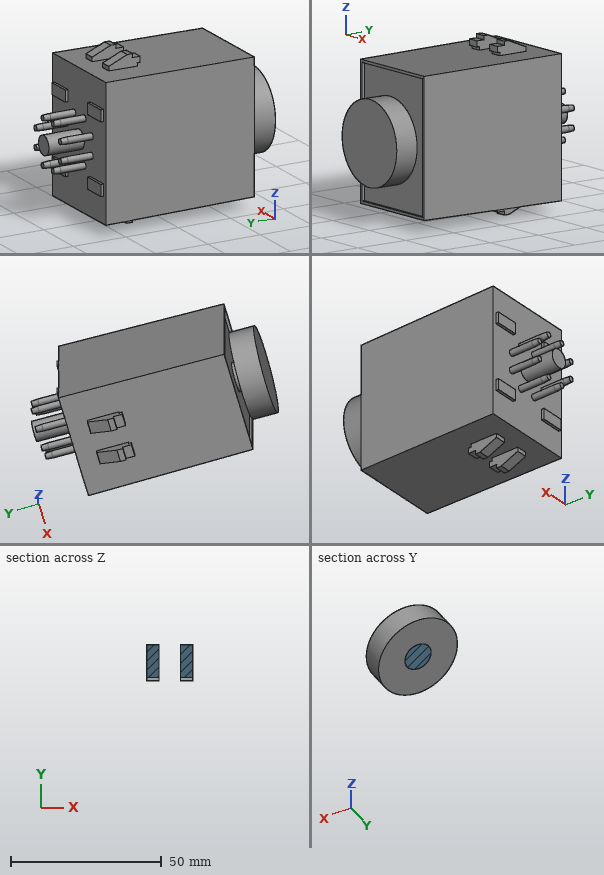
import cadquery as cq
import math


total_length = 80.0
total_height = 59.0

housing_length = 57.0
housing_width = 36.0
housing_height = 50.0
front_taper = 1.0
front_width = housing_width - front_taper
front_height = housing_height - front_taper
front_y = -housing_length

rim_thickness = 1.0
panel_depth = 1.0

knob_diameter = 30.0
shaft_diameter = 10.0
knob_gap = 1.0

spigot_diameter = 7.0
spigot_length = 13.5
pin_count = 8
pin_circle_radius = 9.0
pin_diameter = 2.4
pin_tip_diameter = 2.0
pin_length = 12.0
pin_tip_length = 2.4
pin_straight_length = pin_length - pin_tip_length

knob_length = total_length - spigot_length - housing_length - knob_gap

pad_width = 9.0
pad_height = 4.2
pad_thickness = 1.0
pad_x = 12.0
pad_z = 13.0

clip_width = 4.2
clip_x = 5.6
clip_rear = 7.0
clip_crest_rear = 14.0
clip_crest_front = 16.0
clip_foot_front = 17.9
clip_tongue_front = 19.0
clip_crest_height = (total_height - housing_height) / 2
clip_rear_height = 1.5
clip_tongue_top = 3.1
clip_tongue_underside = 1.0
clip_embed = 0.8


def cylinder(diameter, start_y, length):
    """Cylinder on the Y axis, running from start_y towards +Y."""
    base = cq.Workplane("XZ", origin=(0, start_y, 0))
    return base.circle(diameter / 2).extrude(-length)


def make_housing():
    body = (
        cq.Workplane("XZ")
        .rect(housing_width, housing_height)
        .workplane(offset=housing_length)
        .rect(front_width, front_height)
        .loft(ruled=True)
    )
    recess = (
        cq.Workplane("XZ", origin=(0, front_y, 0))
        .rect(front_width - 2 * rim_thickness, front_height - 2 * rim_thickness)
        .extrude(-panel_depth)
    )
    return body.cut(recess)


def make_knob():
    knob_rear_y = front_y - knob_gap
    shaft = cylinder(shaft_diameter, knob_rear_y, knob_gap + panel_depth)
    knob = cylinder(knob_diameter, knob_rear_y - knob_length, knob_length)
    return knob.union(shaft)


def make_pin():
    """Straight pin with a conical tip, revolved about the Y axis."""
    return (
        cq.Workplane("XY")
        .polyline([
            (0, 0),
            (pin_diameter / 2, 0),
            (pin_diameter / 2, pin_straight_length),
            (pin_tip_diameter / 2, pin_length),
            (0, pin_length),
        ])
        .close()
        .revolve(360, (0, 0, 0), (0, 1, 0))
    )


def make_plug():
    plug = cylinder(spigot_diameter, 0, spigot_length)
    pin = make_pin()
    pitch = 2 * math.pi / pin_count
    for index in range(pin_count):
        angle = (index + 0.5) * pitch
        x = pin_circle_radius * math.cos(angle)
        z = pin_circle_radius * math.sin(angle)
        plug = plug.union(pin.translate((x, 0, z)))
    return plug


def make_pads():
    return (
        cq.Workplane("XZ")
        .rect(2 * pad_x, 2 * pad_z, forConstruction=True)
        .vertices()
        .rect(pad_width, pad_height)
        .extrude(-pad_thickness)
    )


def make_top_clip():
    """Latch clip on the top wall, centred on X = 0."""
    wall_z = housing_height / 2
    root_z = wall_z - clip_embed
    return (
        cq.Workplane("YZ")
        .polyline([
            (-clip_rear, root_z),
            (-clip_rear, wall_z + clip_rear_height),
            (-clip_crest_rear, wall_z + clip_crest_height),
            (-clip_crest_front, wall_z + clip_crest_height),
            (-clip_crest_front, wall_z + clip_tongue_top),
            (-clip_tongue_front, wall_z + clip_tongue_top),
            (-clip_tongue_front, wall_z + clip_tongue_underside),
            (-clip_foot_front, wall_z + clip_tongue_underside),
            (-clip_foot_front, root_z),
        ])
        .close()
        .extrude(clip_width / 2, both=True)
    )


def make_clips():
    clip = make_top_clip()
    top_pair = clip.translate((clip_x, 0, 0)).union(clip.translate((-clip_x, 0, 0)))
    return top_pair.union(top_pair.mirror("XY"))


result = (
    make_housing()
    .union(make_knob())
    .union(make_plug())
    .union(make_pads())
    .union(make_clips())
)